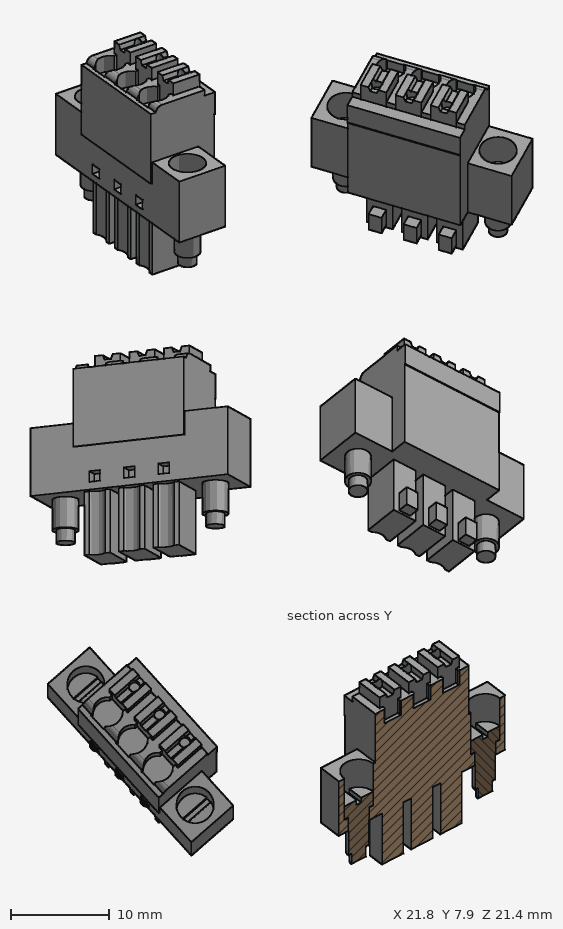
import cadquery as cq


POLE_PITCH = 3.82
POLE_XS = [-POLE_PITCH, 0, POLE_PITCH]

BASE_LENGTH = 21.82
BASE_HEIGHT = 7.1
BASE_HALF_DEPTH = 2.84

TOWER_WIDTH = 12.26
TOWER_BACK = 4.82
TOWER_TOP = 13.4
LEDGE_Z = 12.75
NOSE_RADIUS = 0.79
NOSE_FRONT = -2.4

FRONT_PANEL_Y = -3.0
FRONT_PANEL_BOTTOM = 4.63
BACK_PANEL_Y = 4.9
BACK_PANEL_BOTTOM = 10.17

ENTRY_DIAMETER = 3.0
ENTRY_CENTRE_Y = -1.03
ENTRY_SLOT_WIDTH = 1.95
ENTRY_FRONT = -2.47
ENTRY_FLOOR = 11.56

LEVER_WIDTH = 2.81
LEVER_FRONT = 0.41
LEVER_BACK = 3.62
LEVER_TOP = 14.8
NOTCH_TOP_WIDTH = 1.11
NOTCH_FLOOR_WIDTH = 0.68
NOTCH_DEPTH = 0.5
LEVER_HOLE_DIAMETER = 1.13
LEVER_HOLE_Y = 2.6
LEVER_HOLE_DEPTH = 1.3

WINDOW_WIDTH = 1.2
WINDOW_HEIGHT = 1.11
WINDOW_BOTTOM = 0.8
WINDOW_DEPTH = 1.3

FINGER_WIDTH = 2.84
FINGER_FRONT = -2.18
FINGER_BACK = 1.96
FINGER_LENGTH = 6.61
GROOVE_WIDTH = 1.77
GROOVE_DEPTH = 0.33
KEY_WIDTH = 1.42
KEY_BACK = 3.19
KEY_TOP = -4.05
KEY_BOTTOM = -6.3

SCREW_XS = [-8.3, 8.3]
HEAD_DIAMETER = 3.77
HEAD_BOTTOM = 1.75
HEAD_TOP = 3.5
DRIVE_SLOT_WIDTH = 0.6
SHANK_DIAMETER = 2.66
SHANK_BOTTOM = -3.19
TIP_DIAMETER = 1.92
TIP_BOTTOM = -4.5


def box(x_centre, width, y_front, y_back, z_bottom, z_top):
    """Block of the given width in X, between two Y and two Z limits."""
    return cq.Workplane("XY").box(
        width, y_back - y_front, z_top - z_bottom, centered=(True, False, False)
    ).translate((x_centre, y_front, z_bottom))


def cylinder(x, y, diameter, z_bottom, z_top):
    """Vertical cylinder between two heights."""
    return (
        cq.Workplane("XY", origin=(x, y, z_bottom))
        .circle(diameter / 2)
        .extrude(z_top - z_bottom)
    )


def make_tower():
    """Central block with a ledge at the back and a rounded nose at the front of its top."""
    body = box(0, TOWER_WIDTH, -BASE_HALF_DEPTH, TOWER_BACK, 0, LEDGE_Z)
    front_panel = box(0, TOWER_WIDTH, FRONT_PANEL_Y, TOWER_BACK, FRONT_PANEL_BOTTOM, LEDGE_Z)
    back_panel = box(0, TOWER_WIDTH, FRONT_PANEL_Y, BACK_PANEL_Y, BACK_PANEL_BOTTOM, LEDGE_Z)
    crown = (
        box(0, TOWER_WIDTH, NOSE_FRONT, LEVER_BACK, BACK_PANEL_BOTTOM, TOWER_TOP)
        .edges(">Z and <Y")
        .fillet(NOSE_RADIUS)
    )
    return body.union(front_panel).union(back_panel).union(crown)


def make_finger(x):
    """Plug finger with a round groove down its front and a narrower key at its back."""
    groove_floor = FINGER_FRONT + GROOVE_DEPTH
    finger = (
        cq.Workplane("XY")
        .moveTo(x - FINGER_WIDTH / 2, FINGER_FRONT)
        .lineTo(x - GROOVE_WIDTH / 2, FINGER_FRONT)
        .threePointArc((x, groove_floor), (x + GROOVE_WIDTH / 2, FINGER_FRONT))
        .lineTo(x + FINGER_WIDTH / 2, FINGER_FRONT)
        .lineTo(x + FINGER_WIDTH / 2, FINGER_BACK)
        .lineTo(x - FINGER_WIDTH / 2, FINGER_BACK)
        .close()
        .extrude(-FINGER_LENGTH)
    )
    key = box(x, KEY_WIDTH, FINGER_BACK, KEY_BACK, KEY_BOTTOM, KEY_TOP)
    return finger.union(key)


def make_wire_entry(x):
    """Cutter for a wire entry: a round hole crossed by a narrower slot that meets the lever."""
    bore = cylinder(x, ENTRY_CENTRE_Y, ENTRY_DIAMETER, ENTRY_FLOOR, TOWER_TOP)
    bore = bore.intersect(
        box(x, ENTRY_DIAMETER, ENTRY_FRONT, LEVER_BACK, ENTRY_FLOOR, TOWER_TOP)
    )
    slot = box(x, ENTRY_SLOT_WIDTH, ENTRY_FRONT, LEVER_BACK, ENTRY_FLOOR, TOWER_TOP)
    return bore.union(slot)


def make_lever_blank(x):
    """Plain lever block, which is also the shape of its pocket in the housing."""
    return box(x, LEVER_WIDTH, LEVER_FRONT, LEVER_BACK, ENTRY_FLOOR, LEVER_TOP)


def make_window(x):
    """Cutter for a square test window in the front of the base."""
    return box(
        x,
        WINDOW_WIDTH,
        -BASE_HALF_DEPTH,
        -BASE_HALF_DEPTH + WINDOW_DEPTH,
        WINDOW_BOTTOM,
        WINDOW_BOTTOM + WINDOW_HEIGHT,
    )


def make_housing():
    """Flanged base, tower and fingers, with pockets for the levers and screws."""
    body = box(0, BASE_LENGTH, -BASE_HALF_DEPTH, BASE_HALF_DEPTH, 0, BASE_HEIGHT)
    body = body.union(make_tower())
    for x in POLE_XS:
        body = body.union(make_finger(x))
        body = body.cut(make_wire_entry(x))
        body = body.cut(make_lever_blank(x))
        body = body.cut(make_window(x))
    for x in SCREW_XS:
        body = body.cut(cylinder(x, 0, HEAD_DIAMETER, HEAD_BOTTOM, BASE_HEIGHT))
        body = body.cut(cylinder(x, 0, SHANK_DIAMETER, 0, HEAD_BOTTOM))
    return body


def make_lever(x):
    """Release lever with a tapered notch along its top and a round blind hole in the notch."""
    notch_floor = LEVER_TOP - NOTCH_DEPTH
    notch = (
        cq.Workplane("XZ", origin=(x, LEVER_FRONT, 0))
        .moveTo(-NOTCH_TOP_WIDTH / 2, LEVER_TOP)
        .lineTo(-NOTCH_FLOOR_WIDTH / 2, notch_floor)
        .lineTo(NOTCH_FLOOR_WIDTH / 2, notch_floor)
        .lineTo(NOTCH_TOP_WIDTH / 2, LEVER_TOP)
        .close()
        .extrude(LEVER_FRONT - LEVER_BACK)
    )
    hole = cylinder(x, LEVER_HOLE_Y, LEVER_HOLE_DIAMETER, LEVER_TOP - LEVER_HOLE_DEPTH, LEVER_TOP)
    return make_lever_blank(x).cut(notch).cut(hole)


def make_screw(x):
    """Slotted flange screw with a stepped tip."""
    head = cylinder(x, 0, HEAD_DIAMETER, HEAD_BOTTOM, HEAD_TOP)
    shank = cylinder(x, 0, SHANK_DIAMETER, SHANK_BOTTOM, HEAD_BOTTOM)
    tip = cylinder(x, 0, TIP_DIAMETER, TIP_BOTTOM, SHANK_BOTTOM)
    drive_slot = box(
        x,
        DRIVE_SLOT_WIDTH,
        -HEAD_DIAMETER / 2,
        HEAD_DIAMETER / 2,
        HEAD_TOP - DRIVE_SLOT_WIDTH,
        HEAD_TOP,
    )
    return head.union(shank).union(tip).cut(drive_slot)


housing = make_housing()
levers = [make_lever(x) for x in POLE_XS]
screws = [make_screw(x) for x in SCREW_XS]

result = cq.Compound.makeCompound(
    [
        housing.solids().val(),
        *[lever.solids().val() for lever in levers],
        *[screw.solids().val() for screw in screws],
    ]
)